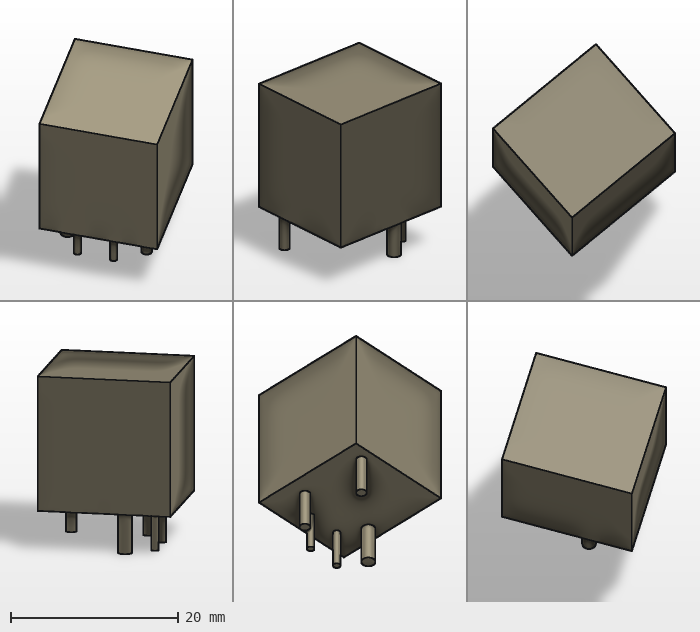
import cadquery as cq

width = 14.6
depth = 16.2
total_height = 21.6
pin_length = 5.08
housing_height = total_height - pin_length

thin_pin = 0.9
medium_pin = 1.3
thick_pin = 1.7

thick_pin_place = (-5.42, -2.2)
thin_row_y = -5.42
thin_pin_places = [(x, thin_row_y) for x in (-3.3, 1.17)]
medium_row_x = 4.62
medium_pin_places = [(medium_row_x, y) for y in (-3.02, 6.4)]


def make_housing():
    """Plain block that stands on the pins, with its underside at z = 0."""
    return cq.Workplane("XY").box(width, depth, housing_height, centered=(True, True, False))


def make_pin(diameter, place):
    """Round pin that hangs from the underside of the housing."""
    return cq.Workplane("XY").center(*place).circle(diameter / 2).extrude(-pin_length)


housing = make_housing()
thick_post = make_pin(thick_pin, thick_pin_place)
thin_pins = [make_pin(thin_pin, place) for place in thin_pin_places]
medium_pins = [make_pin(medium_pin, place) for place in medium_pin_places]

pins = [thick_post, *thin_pins, *medium_pins]
result = cq.Compound.makeCompound([housing.val(), *[pin.val() for pin in pins]])